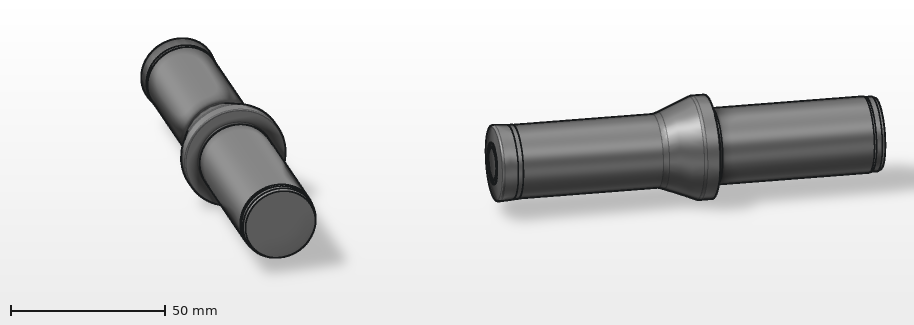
import cadquery as cq

grip_diameter = 24.0
collar_diameter = 34.0
spigot_diameter = 25.0
relief_diameter = 24.5

total_length = 128.0
grip_start = 5.9
cap_end = 7.5
grip_end = 54.0
cone_start = 56.0
cone_end = 66.5
collar_start = 67.6
collar_end = 72.0
neck_start = 72.3
neck_end = 73.1
spigot_start = 73.7
spigot_end = 124.2
tip_start = 124.9

cone_start_radius = 12.5
cone_end_radius = 16.8
collar_fillet = 0.4
neck_fillet = neck_start - collar_end
tip_chamfer_length = 1.2
tip_chamfer_depth = 0.5

cap_rim_diameter = 25.0
skirt_end_diameter = 24.2
cap_fillet_length = 1.3
cap_face_radius = 11.8
cap_face_rise = 0.5
cap_flat_radius = 6.9
groove_floor_outer_radius = 6.5
groove_floor_inner_radius = 5.6
groove_inner_radius = 5.2
groove_depth = 0.4


def revolve_about_x(profile):
    """Turn a closed (x, radius) profile about the X axis."""
    return profile.close().revolve(360, (0, 0, 0), (1, 0, 0))


def make_handle():
    """Grip, conical collar, relief neck and spigot turned as one body."""
    grip_radius = grip_diameter / 2
    collar_radius = collar_diameter / 2
    spigot_radius = spigot_diameter / 2
    relief_radius = relief_diameter / 2
    cone_direction = (cone_end - cone_start, cone_end_radius - cone_start_radius)
    profile = (
        cq.Workplane("XY")
        .moveTo(grip_start, 0)
        .lineTo(grip_start, grip_radius)
        .lineTo(grip_end, grip_radius)
        .spline([(cone_start, cone_start_radius)], tangents=[(1, 0), cone_direction], includeCurrent=True)
        .lineTo(cone_end, cone_end_radius)
        .spline([(collar_start, collar_radius)], tangents=[cone_direction, (1, 0)], includeCurrent=True)
        .lineTo(collar_end - collar_fillet, collar_radius)
        .radiusArc((collar_end, collar_radius - collar_fillet), collar_fillet)
        .lineTo(collar_end, relief_radius + neck_fillet)
        .radiusArc((neck_start, relief_radius), -neck_fillet)
        .lineTo(neck_end, relief_radius)
        .lineTo(spigot_start, spigot_radius)
        .lineTo(spigot_end, spigot_radius)
        .lineTo(tip_start, relief_radius)
        .lineTo(total_length - tip_chamfer_length, relief_radius)
        .lineTo(total_length, relief_radius - tip_chamfer_depth)
        .lineTo(total_length, 0)
    )
    return revolve_about_x(profile)


def make_cap():
    """Tapered end cap with a ring groove in its slightly conical face."""
    grip_radius = grip_diameter / 2
    rim_radius = cap_rim_diameter / 2
    profile = (
        cq.Workplane("XY")
        .moveTo(0, 0)
        .lineTo(0, groove_inner_radius)
        .lineTo(groove_depth, groove_floor_inner_radius)
        .lineTo(groove_depth, groove_floor_outer_radius)
        .lineTo(0, cap_flat_radius)
        .lineTo(cap_face_rise, cap_face_radius)
        .spline([(cap_fillet_length, rim_radius)], tangents=[(0, 1), (1, 0)], includeCurrent=True)
        .lineTo(cap_end, skirt_end_diameter / 2)
        .lineTo(cap_end, grip_radius)
        .lineTo(grip_start, grip_radius)
        .lineTo(grip_start, 0)
    )
    return revolve_about_x(profile)


handle = make_handle()
cap = make_cap()
result = cq.Compound.makeCompound([handle.val(), cap.val()])